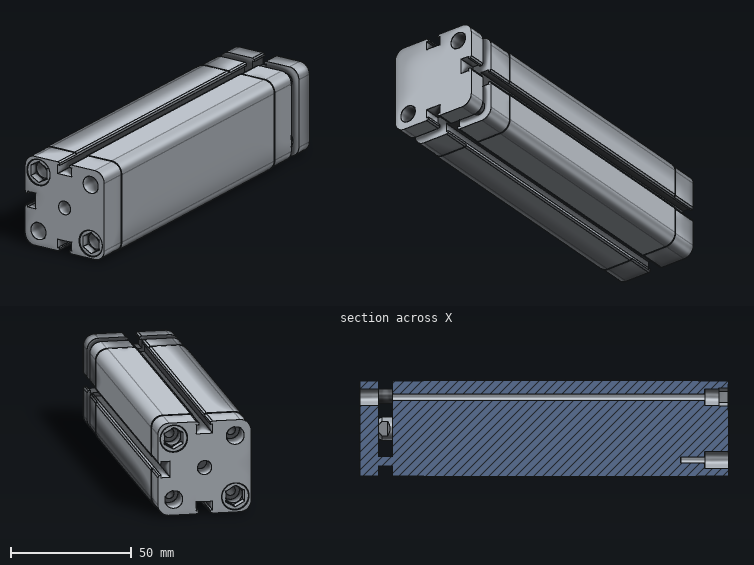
import cadquery as cq
import math


total_length = 153.0
plate_thickness = 8.0
rod_gap = 5.7
cap_length = 12.7

rear_face = -total_length / 2
plate_front = total_length / 2
plate_back = plate_front - plate_thickness
body_front = plate_back - rod_gap
tube_front = body_front - cap_length
tube_rear = rear_face + cap_length

tube_width = 40.1
cap_width = 39.5
corner_centre = 15.0

slot_opening = 4.9
slot_inner_width = 6.9
slot_inner_top = 18.4
slot_floor = 14.5
slot_bevel_width = 0.9
slot_bevel_height = 0.5
slot_angles = (0, 90, 180)

rod_diameter = 10.0
rod_end_diameter = 8.5
rod_end_taper = 1.4
wrench_flat_width = 8.0
wrench_flat_length = 3.7
guide_pin_diameter = 6.0
guide_pin_offset = 13.5
plate_hole_diameter = 7.5

bolt_offset = 13.0
through_diameter = 4.1
bolt_bore_diameter = 7.5
bolt_bore_depth = 10.0
blind_depth = 19.9
screw_seat_diameter = 11.2
screw_seat_mouth = 11.6
screw_seat_depth = 0.3
hex_width = 8.0
hex_depth = 3.8
centre_hole_diameter = 6.0
centre_hole_depth = 10.0

bolt_places = ((-bolt_offset, bolt_offset), (bolt_offset, -bolt_offset))
blind_places = ((-bolt_offset, -bolt_offset), (bolt_offset, bolt_offset))
guide_pin_places = (
    (-guide_pin_offset, -guide_pin_offset),
    (guide_pin_offset, guide_pin_offset),
)


def section_at(y):
    """Sketch plane across the long axis: local x is X, local y is Z, extruding towards -Y."""
    return cq.Workplane(cq.Plane(origin=(0, y, 0), xDir=(1, 0, 0), normal=(0, -1, 0)))


def cylinder(place, diameter, y_start, y_end):
    return section_at(y_end).center(*place).circle(diameter / 2).extrude(y_end - y_start)


def cone(place, start_diameter, end_diameter, y_start, y_end):
    solid = cq.Solid.makeCone(
        start_diameter / 2,
        end_diameter / 2,
        y_end - y_start,
        pnt=cq.Vector(place[0], y_start, place[1]),
        dir=cq.Vector(0, 1, 0),
    )
    return cq.Workplane(obj=solid)


def top_slot(width, y_start, y_end):
    """Cutter for the T-slot of the +Z side, with bevelled edges at the surface."""
    surface = width / 2
    half_opening = slot_opening / 2
    half_inner = slot_inner_width / 2
    half_mouth = half_opening + slot_bevel_width
    bevel_start = surface - slot_bevel_height
    clear_top = surface + slot_bevel_height
    return (
        section_at(y_end)
        .moveTo(-half_inner, slot_floor)
        .lineTo(half_inner, slot_floor)
        .lineTo(half_inner, slot_inner_top)
        .lineTo(half_opening, slot_inner_top)
        .lineTo(half_opening, bevel_start)
        .lineTo(half_mouth, surface)
        .lineTo(half_mouth, clear_top)
        .lineTo(-half_mouth, clear_top)
        .lineTo(-half_mouth, surface)
        .lineTo(-half_opening, bevel_start)
        .lineTo(-half_opening, slot_inner_top)
        .lineTo(-half_inner, slot_inner_top)
        .close()
        .extrude(y_end - y_start)
    )


def slotted_bar(width, y_start, y_end):
    """Square bar with rounded corners and a T-slot on three sides."""
    length = y_end - y_start
    bar = section_at(y_end).rect(width, width).extrude(length)
    bar = bar.edges("|Y").fillet(width / 2 - corner_centre)
    slot = top_slot(width, y_start, y_end)
    for angle in slot_angles:
        bar = bar.cut(slot.rotate((0, 0, 0), (0, -1, 0), angle))
    return bar


def piston_rod():
    """Round rod with a tapered end and two wrench flats facing -X and +X."""
    axis = (0, 0)
    taper_start = plate_back - rod_end_taper
    rod = cylinder(axis, rod_diameter, body_front, taper_start)
    rod = rod.union(cone(axis, rod_diameter, rod_end_diameter, taper_start, plate_back))

    flat = wrench_flat_width / 2
    flat_depth = rod_diameter / 2 - flat
    flat_end = plate_back - wrench_flat_length
    for side in (-1, 1):
        cutter = (
            cq.Workplane("XY")
            .moveTo(side * flat, plate_back)
            .lineTo(side * flat, flat_end)
            .lineTo(side * (flat + flat_depth), flat_end - flat_depth)
            .lineTo(side * (flat + flat_depth), plate_back)
            .close()
            .extrude(rod_diameter / 2, both=True)
        )
        rod = rod.cut(cutter)
    return rod


def bolt_recess(place):
    """Chamfered seat, hex socket, round bore and clearance hole running the whole body."""
    seat_floor = rear_face + screw_seat_depth
    hex_floor = seat_floor + hex_depth
    hex_corner_diameter = hex_width / math.cos(math.pi / 6)
    socket = (
        section_at(hex_floor)
        .center(*place)
        .transformed(rotate=(0, 0, 90))
        .polygon(6, hex_corner_diameter)
        .extrude(hex_floor - rear_face)
    )
    return (
        cone(place, screw_seat_mouth, screw_seat_diameter, rear_face, seat_floor)
        .union(socket)
        .union(cylinder(place, bolt_bore_diameter, rear_face, rear_face + bolt_bore_depth))
        .union(cylinder(place, through_diameter, rear_face, body_front))
    )


def blind_recess(place):
    """Stepped blind hole."""
    wide = cylinder(place, bolt_bore_diameter, rear_face, rear_face + bolt_bore_depth)
    return wide.union(cylinder(place, through_diameter, rear_face, rear_face + blind_depth))


body = slotted_bar(cap_width, rear_face, tube_rear)
body = body.union(slotted_bar(tube_width, tube_rear, tube_front))
body = body.union(slotted_bar(cap_width, tube_front, body_front))

for bolt_place in bolt_places:
    body = body.cut(bolt_recess(bolt_place))
for blind_place in blind_places:
    body = body.cut(blind_recess(blind_place))
body = body.cut(cylinder((0, 0), centre_hole_diameter, rear_face, rear_face + centre_hole_depth))

plate = slotted_bar(cap_width, plate_back, plate_front)
for bolt_place in bolt_places:
    plate = plate.cut(cylinder(bolt_place, plate_hole_diameter, plate_back, plate_front))

result = body.union(plate).union(piston_rod())
for pin_place in guide_pin_places:
    result = result.union(cylinder(pin_place, guide_pin_diameter, body_front, plate_back))